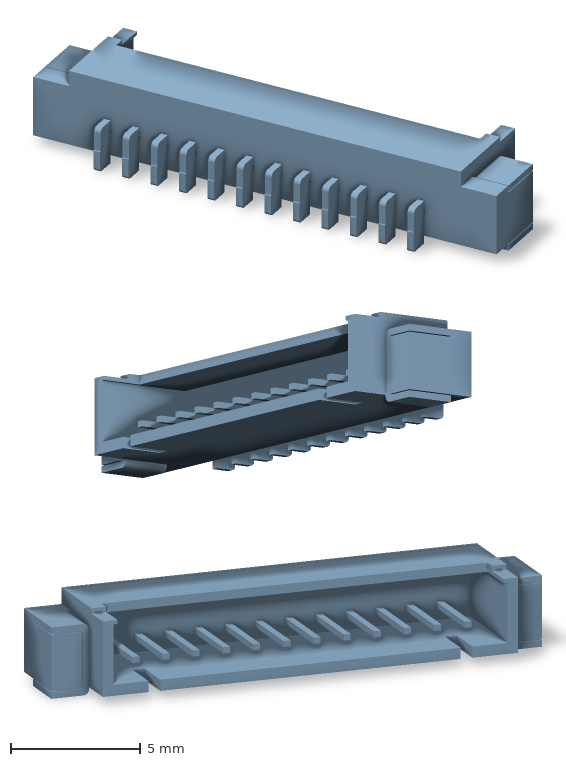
import cadquery as cq

length = 20.33
height = 3.54
stand_off = 0.3

shell_length = 17.2
shell_depth = 4.41
wall = 0.45
roof_thickness = 0.37
lip = 0.16
roof_depth = 2.7
shoulder_depth = 3.2
shoulder_drop = 0.2

floor_gap_width = 0.49
floor_gap_spacing = 12.93

wing_length = (length - shell_length) / 2
wing_depth = 2.95
wing_top = 2.87

clip_width = 1.97
clip_thickness = 0.26
clip_outer_radius = 0.25
clip_inner_radius = 0.1
clip_clearance = 0.05

pin_count = 12
pin_pitch = 1.25
pin_width = 0.28
pin_tip_y = 3.5
leg_bottom = 1.26
leg_thickness = 0.25
blade_gap = 0.06
blade_reach = 0.94
blade_height = 1.87
blade_step_height = 0.9
blade_step = 0.06
blade_top_radius = 0.2
blade_foot_radius = 0.15


def block(x_range, y_range, z_range):
    """Axis-aligned box between the given limits."""
    (x0, x1), (y0, y1), (z0, z1) = x_range, y_range, z_range
    return cq.Workplane("XY").box(x1 - x0, y1 - y0, z1 - z0, centered=False).translate((x0, y0, z0))


def centred(size):
    """Limits of a span centred on zero."""
    return (-size / 2, size / 2)


def make_shell():
    """Housing box with its socket, open-topped front, lowered side walls and floor gaps."""
    socket_span = centred(shell_length - 2 * wall)
    socket_floor = stand_off + wall
    mouth_span = centred(shell_length - 2 * (wall + lip))
    front_open = (roof_depth, shell_depth)

    shell = block(centred(shell_length), (0, shell_depth), (stand_off, height))
    shell = shell.cut(block(socket_span, (wall, shell_depth), (socket_floor, height - roof_thickness)))
    shell = shell.cut(block(mouth_span, front_open, (socket_floor, height)))
    shell = shell.cut(
        block(centred(shell_length), (shoulder_depth, shell_depth), (height - shoulder_drop, height))
    )
    for side in (-1, 1):
        gap = block(centred(floor_gap_width), front_open, (stand_off, socket_floor))
        shell = shell.cut(gap.translate((side * floor_gap_spacing / 2, 0, 0)))
    return shell


def make_wing():
    """Wing at the +X end, with the recess that takes the solder clip around a core."""
    inner_x = shell_length / 2
    outer_x = inner_x + wing_length
    recess_y = (wing_depth - clip_width - clip_clearance, wing_depth)
    clip_space = clip_thickness + clip_clearance

    wing = block((inner_x, outer_x), (0, wing_depth), (stand_off, wing_top))
    recess = block((inner_x, outer_x), recess_y, (stand_off, wing_top))
    core = block((inner_x + clip_space, outer_x), recess_y, (stand_off, wing_top - clip_space))
    return wing.cut(recess.cut(core))


def make_clip():
    """Solder clip at the +X end: its web stands against the shell and its plates point outward."""
    inner_x = shell_length / 2
    outer_x = inner_x + wing_length
    clip_y = (wing_depth - clip_width, wing_depth)

    clip = block((inner_x, outer_x), clip_y, (0, wing_top))
    clip = clip.edges("<X and |Y").fillet(clip_outer_radius)
    opening = block(
        (inner_x + clip_thickness, outer_x), clip_y, (clip_thickness, wing_top - clip_thickness)
    )
    opening = opening.edges("<X and |Y").fillet(clip_inner_radius)
    return clip.cut(opening)


def make_pin():
    """Contact: a leg through the back wall and an upright solder blade behind it."""
    upper_face = -blade_reach + blade_step
    blade = (
        cq.Workplane("YZ")
        .polyline([
            (-blade_gap, 0),
            (-blade_reach, 0),
            (-blade_reach, blade_step_height),
            (upper_face, blade_step_height),
            (upper_face, blade_height),
            (-blade_gap, blade_height),
        ])
        .close()
        .extrude(pin_width / 2, both=True)
    )
    top_edge = cq.selectors.NearestToPointSelector((0, upper_face, blade_height))
    foot_edge = cq.selectors.NearestToPointSelector((0, -blade_reach, 0))
    blade = blade.edges(top_edge).fillet(blade_top_radius)
    blade = blade.edges(foot_edge).fillet(blade_foot_radius)
    leg = block(centred(pin_width), (-blade_gap, pin_tip_y), (leg_bottom, leg_bottom + leg_thickness))
    return blade.union(leg)


def make_housing():
    """Shell, both wings and the row of contacts moulded into the back wall, as one solid."""
    wing = make_wing()
    housing = make_shell().union(wing).union(wing.mirror("YZ"))
    pin = make_pin()
    for index in range(pin_count):
        x = (index - (pin_count - 1) / 2) * pin_pitch
        housing = housing.union(pin.translate((x, 0, 0)))
    return housing.solids().val()


housing = make_housing()

clip_middle_y = wing_depth - clip_width / 2
solder_clips = []
for end_angle in (0, 180):
    clip = make_clip().rotate((0, clip_middle_y, 0), (0, clip_middle_y, 1), end_angle)
    solder_clips.append(clip.val())

result = cq.Compound.makeCompound([housing, *solder_clips])